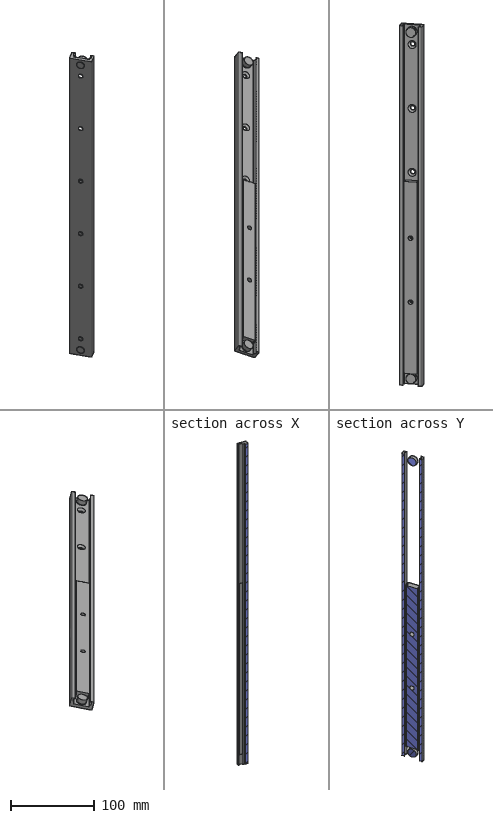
import cadquery as cq

rail_length = 450.0
rail_width = 28.0
rail_depth = 12.0
floor_thickness = 4.0
channel_width = 19.0
front_radius = 1.0
back_radius = 1.12

race_y = 9.0
race_depth = 2.0
race_half_width = 2.5

hole_diameter = 5.5
countersink_diameter = 10.0
throat_length = 1.5
hole_count = 6
hole_span = 400.0
hole_pitch = hole_span / (hole_count - 1)
first_hole_z = (rail_length - hole_span) / 2
hole_heights = [first_hole_z + i * hole_pitch for i in range(hole_count)]

shank_diameter = 10.0
shank_chamfer = 0.5
head_diameter = 12.0
head_height = 6.8
stop_inset = 8.0
stop_heights = [stop_inset, rail_length - stop_inset]

slider_length = 240.5
slider_start_z = 15.5
slider_width = 16.0
slider_front_y = 6.0
slider_back_y = 13.0
groove_depth = 1.0
groove_half_width = 1.5
slider_hole_heights = hole_heights[1:3]

cage_thickness = 0.5
cage_width = 4.5
cage_gap = 0.5


def cylinder_along_y(diameter, start_y, length, z):
    """Cylinder with its axis at X = 0 and height z, running from start_y toward +Y."""
    base = cq.Vector(0, start_y, z)
    return cq.Workplane(cq.Solid.makeCylinder(diameter / 2, length, base, cq.Vector(0, 1, 0)))


def mounting_hole(z):
    """Cutter for one countersunk hole through the rail floor."""
    throat = cylinder_along_y(hole_diameter, 0, floor_thickness, z)
    countersink = cq.Solid.makeCone(
        hole_diameter / 2,
        countersink_diameter / 2,
        floor_thickness - throat_length,
        cq.Vector(0, throat_length, z),
        cq.Vector(0, 1, 0),
    )
    return throat.union(cq.Workplane(countersink))


def make_rail_profile():
    """Plain channel with a ball race in each side wall and rounded outer corners."""
    outer_x = rail_width / 2
    inner_x = channel_width / 2
    profile = (
        cq.Workplane("XY")
        .moveTo(0, 0)
        .lineTo(outer_x, 0)
        .lineTo(outer_x, rail_depth)
        .lineTo(inner_x, rail_depth)
        .lineTo(inner_x, race_y + race_half_width)
        .threePointArc((inner_x + race_depth, race_y), (inner_x, race_y - race_half_width))
        .lineTo(inner_x, floor_thickness)
        .lineTo(0, floor_thickness)
        .mirrorY()
        .extrude(rail_length)
    )
    profile = profile.faces(">Y").edges("|Z and (<X or >X)").fillet(back_radius)
    return profile.faces("<Y").edges("|Z").fillet(front_radius)


def make_rail():
    rail = make_rail_profile()
    for z in hole_heights:
        rail = rail.cut(mounting_hole(z))
    for z in stop_heights:
        rail = rail.cut(cylinder_along_y(shank_diameter, 0, floor_thickness, z))
    return rail


def make_stop(z):
    shank = cylinder_along_y(shank_diameter, 0, floor_thickness, z)
    shank = shank.faces("<Y").chamfer(shank_chamfer)
    head = cylinder_along_y(head_diameter, floor_thickness, head_height, z)
    return shank.union(head)


def make_slider():
    side_x = slider_width / 2
    slider = (
        cq.Workplane("XY", origin=(0, 0, slider_start_z))
        .moveTo(0, slider_front_y)
        .lineTo(side_x, slider_front_y)
        .lineTo(side_x, race_y - groove_half_width)
        .threePointArc((side_x - groove_depth, race_y), (side_x, race_y + groove_half_width))
        .lineTo(side_x, slider_back_y)
        .lineTo(0, slider_back_y)
        .mirrorY()
        .extrude(slider_length)
    )
    for z in slider_hole_heights:
        slider = slider.cut(cylinder_along_y(hole_diameter, 0, slider_back_y, z))
    return slider


def make_cage(side):
    """Ball cage on the +X side (side = 1) or the -X side (side = -1) of the slider."""
    center_x = side * (slider_width / 2 + cage_gap + cage_thickness / 2)
    return (
        cq.Workplane("XY", origin=(center_x, race_y, slider_start_z))
        .rect(cage_thickness, cage_width)
        .extrude(slider_length)
    )


rail = make_rail()
slider = make_slider()
stops = [make_stop(z) for z in stop_heights]
cages = [make_cage(side) for side in (-1, 1)]

result = cq.Compound.makeCompound([
    rail.val(),
    slider.val(),
    *[stop.val() for stop in stops],
    *[cage.val() for cage in cages],
])